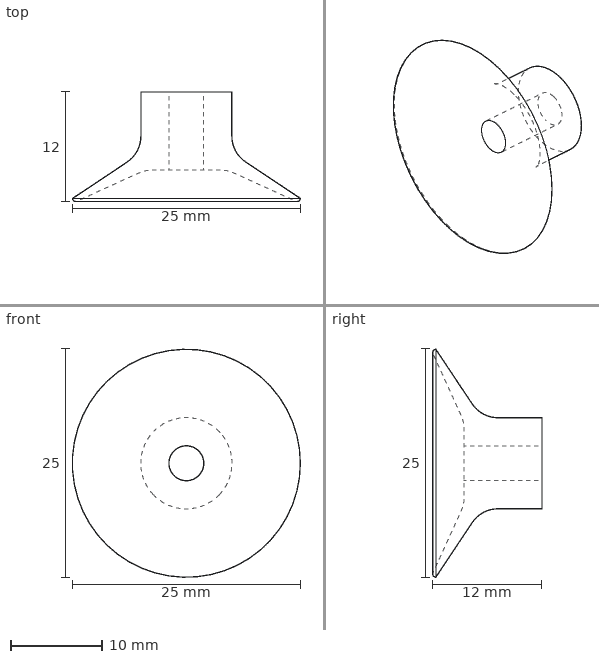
import cadquery as cq
import math

rim_radius = 12.5
length = 12.0

neck_radius = 5.0
neck_length = 4.85
flare_end_radius = 6.52
flare_length = 2.82

hole_radius = 1.9
floor_radius = 3.75
blend_end_radius = 5.2
inner_slope = math.radians(24.5)
lip_radius = 0.35

neck_end_y = length - neck_length
flare_end_y = neck_end_y - flare_length


def lip_point(angle):
    """Point on the lip round; the angle runs from the outermost point towards the cup axis."""
    radius = rim_radius - lip_radius + lip_radius * math.cos(angle)
    y = lip_radius - lip_radius * math.sin(angle)
    return radius, y


lip_sweep = math.pi / 2 + inner_slope
lip_inner_radius, lip_inner_y = lip_point(lip_sweep)

blend_tangent = (blend_end_radius - floor_radius) / (1 + math.cos(inner_slope))
corner_radius = floor_radius + blend_tangent
floor_y = lip_inner_y + (lip_inner_radius - corner_radius) * math.tan(inner_slope)
blend_end_y = floor_y - blend_tangent * math.sin(inner_slope)

profile = (
    cq.Workplane("XY")
    .moveTo(hole_radius, length)
    .lineTo(neck_radius, length)
    .lineTo(neck_radius, neck_end_y)
    .tangentArcPoint((flare_end_radius, flare_end_y), relative=False)
    .lineTo(rim_radius, lip_radius)
    .threePointArc(lip_point(lip_sweep / 2), (lip_inner_radius, lip_inner_y))
    .lineTo(blend_end_radius, blend_end_y)
    .tangentArcPoint((floor_radius, floor_y), relative=False)
    .lineTo(hole_radius, floor_y)
    .close()
)

result = profile.revolve(360, (0, 0, 0), (0, 1, 0))